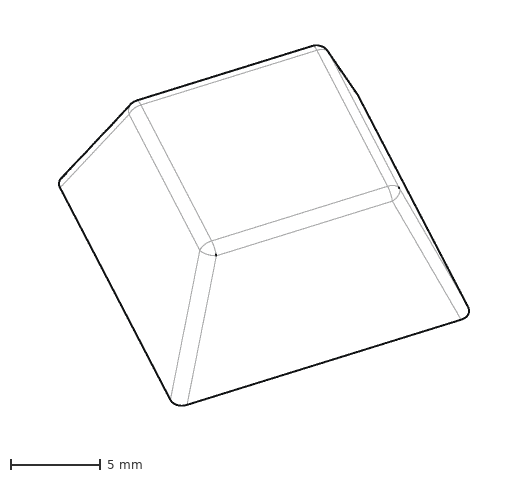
import cadquery as cq

base_side = 18.0
body_height = 9.0
top_side = 11.7
edge_radius = 0.75

body = (
    cq.Workplane("XY")
    .rect(base_side, base_side)
    .workplane(offset=body_height)
    .rect(top_side, top_side)
    .loft(ruled=True)
)

result = body.edges("not <Z").fillet(edge_radius)